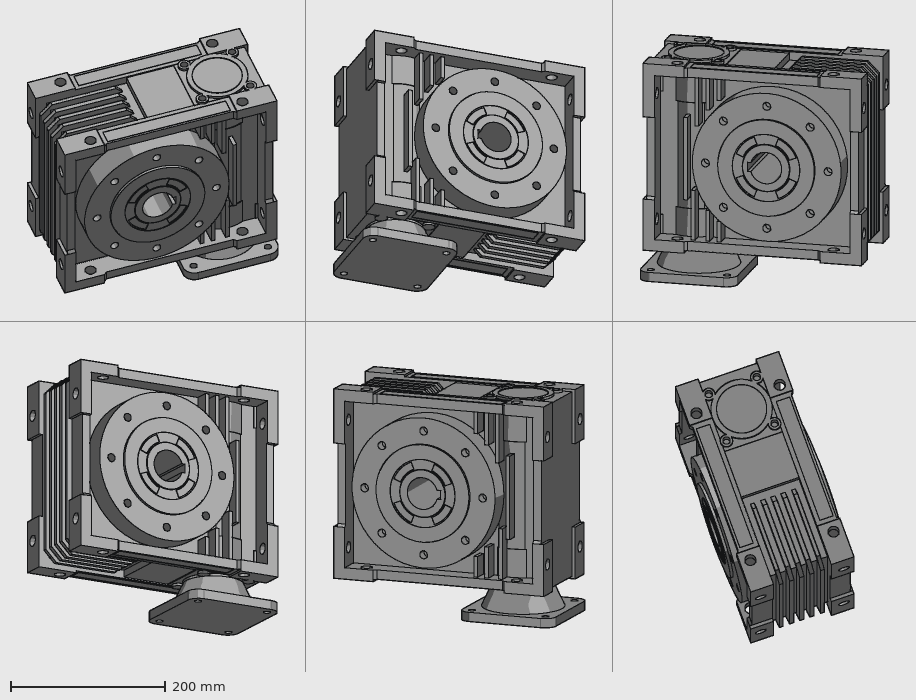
import cadquery as cq
import math


rear_y = 166.7
front_y = -126.3
mid_z = 1.5
half_height = 126.0
top_z = mid_z + half_height
bottom_z = mid_z - half_height
length = rear_y - front_y
mid_y = (rear_y + front_y) / 2

frame_x = 71.2
core_x = 39.8
frame_wall = 15.5
corner_length = 55.2
corner_edge_z = 55.5
rail_side_inset = 3.5
rail_upper_slope = 1.0
rail_end_inset = 4.5
rail_top_inset = 2.7
rail_panel_inner_x = 45.8
rail_panel_outer_x = 64.2
rail_panel_margin = 6.5
rail_panel_depth = 0.5
mount_hole_d = 14.5
mount_hole_x = 57.3
mount_hole_z = 84.7
mount_hole_ys = (124.0, -85.5)
mount_hole_depth = 24.0

cover_half_height = 122.7
plate_half_height = 121.5
base_half_height = 112.2
cover_edge_y = 64.2
plate_edge_y = -0.5

fin_start_y = -11.2
fin_end_y = -124.2
fin_chamfer = 15.7
fin_layout = ((0, 6.0), (14.0, 6.0), (-14.0, 6.0), (28.3, 5.0), (-28.3, 5.0))

worm_y = 110.0
barrel_r = 43.7
barrel_end_r = 44.5
barrel_end_z = 71.5
cover_r = core_x
cover_recess_r = 32.5
cover_recess_depth = 1.2
boss_circle_r = 47.0
boss_first_angle = 45.8
boss_count = 4
boss_r = 8.0
boss_hole_d = 9.5
boss_hole_depth = 12.0
flange_side = 130.2
flange_thickness = 12.5
flange_corner_r = 15.5
flange_bottom_z = -168.0
flange_hole_d = 9.0
flange_hole_offset = 51.3
cone_top_r = cover_r
cone_bottom_r = 54.3

disc_r = 99.8
disc_x = 73.5
hub_r = 64.8
hub_x = 77.5
tapped_circle_r = 82.3
tapped_hole_d = 10.5
tapped_hole_depth = 15.0
tapped_hole_count = 8
seal_r = 45.2
seal_recess = 1.0
seal_pocket_inner_r = 33.5
seal_pocket_outer_r = 43.5
seal_pocket_count = 4
seal_pocket_first_angle = 45
seal_pocket_angle = 46
seal_pocket_depth = 1.0
shaft_r = 32.0
shaft_chamfer = 0.5
bore_r = 21.0
key_half_width = 6.0
key_reach = 25.0

rib_x = 60.3
corner_rib_x = core_x + 1.0
rib_thickness = 5.0
window_top_z = top_z - frame_wall
window_bottom_z = bottom_z + frame_wall
window_rear_y = rear_y - frame_wall
window_front_y = front_y + frame_wall
rib_layout = (
    (112.5, -55.5, 55.5, rib_x),
    (97.5, 45.2, window_top_z, rib_x),
    (102.2, window_bottom_z, -42.0, rib_x),
    (82.5, 67.8, window_top_z, rib_x),
    (82.5, window_bottom_z, -67.8, rib_x),
    (67.5, 81.7, window_top_z, rib_x),
    (67.5, window_bottom_z, -81.7, rib_x),
    (150.5, 83.2, window_top_z, corner_rib_x),
    (150.5, window_bottom_z, -83.2, corner_rib_x),
)


def block(x0, x1, y0, y1, z0, z1):
    """Box between two opposite corners."""
    return cq.Workplane("XY").box(x1 - x0, y1 - y0, z1 - z0, centered=False).translate((x0, y0, z0))


def x_cylinder(radius, x0, x1):
    """Cylinder on the output axis."""
    return cq.Workplane("YZ").workplane(offset=x0).circle(radius).extrude(x1 - x0)


def z_cylinder(radius, z0, z1, x=0, y=worm_y):
    """Vertical cylinder, on the worm axis by default."""
    return cq.Workplane("XY").workplane(offset=z0).center(x, y).circle(radius).extrude(z1 - z0)


def both_sides(solid):
    """The solid together with its mirror image across X = 0."""
    return solid.union(solid.mirror("YZ"))


def make_core():
    def slab(half_height_z, y0, y1):
        return block(-core_x, core_x, y0, y1, mid_z - half_height_z, mid_z + half_height_z)

    cover = slab(cover_half_height, cover_edge_y, rear_y - rail_end_inset)
    plate = slab(plate_half_height, plate_edge_y, cover_edge_y)
    base = slab(base_half_height, window_front_y, plate_edge_y)
    return cover.union(plate).union(base)


def make_fins():
    rise = plate_half_height - base_half_height
    upper_outline = [
        (fin_start_y, base_half_height),
        (fin_start_y - rise, plate_half_height),
        (fin_end_y + fin_chamfer, plate_half_height),
        (fin_end_y, plate_half_height - fin_chamfer),
    ]
    lower_outline = [(y, -z) for y, z in reversed(upper_outline)]
    outline = [(y, mid_z + z) for y, z in upper_outline + lower_outline]
    fins = cq.Workplane("YZ")
    for x, width in fin_layout:
        fin = cq.Workplane("YZ").workplane(offset=x - width / 2).polyline(outline).close().extrude(width)
        fins = fins.union(fin)
    return fins


def rail_side_cut(axis_plane, start, end, end_slope):
    """Shallow cut that sets the rail sides back; it starts on a 45 degree slope and ends on end_slope."""
    floor_x = frame_x - rail_side_inset
    profile = [
        (frame_x, start),
        (floor_x, start + rail_side_inset),
        (floor_x, end - end_slope),
        (frame_x, end),
    ]
    return cq.Workplane(axis_plane).polyline(profile).close().extrude(length, both=True)


def make_frame():
    """The +X frame: a rectangular ring with corner blocks and set-back rails."""
    corner_rear_y = rear_y - corner_length
    corner_front_y = front_y + corner_length
    frame = block(core_x, frame_x, front_y, rear_y, bottom_z, top_z)
    window = block(core_x, frame_x, window_front_y, window_rear_y, window_bottom_z, window_top_z)
    frame = frame.cut(window)
    frame = frame.cut(rail_side_cut("XY", corner_front_y, corner_rear_y, rail_side_inset))
    frame = frame.cut(rail_side_cut("XZ", -corner_edge_z, corner_edge_z, rail_upper_slope))
    for z0, z1 in ((top_z - rail_top_inset, top_z), (bottom_z, bottom_z + rail_top_inset)):
        frame = frame.cut(block(core_x, frame_x, corner_front_y, corner_rear_y, z0, z1))
    for y0, y1 in ((rear_y - rail_end_inset, rear_y), (front_y, front_y + rail_end_inset)):
        frame = frame.cut(block(core_x, frame_x, y0, y1, -corner_edge_z, corner_edge_z))

    panel_y0 = corner_front_y + rail_panel_margin
    panel_y1 = corner_rear_y - rail_panel_margin
    panel_half = half_height - rail_top_inset
    for z in (mid_z + panel_half, mid_z - panel_half):
        panel = block(rail_panel_inner_x, rail_panel_outer_x, panel_y0, panel_y1,
                      z - rail_panel_depth, z + rail_panel_depth)
        frame = frame.cut(panel)

    for y in mount_hole_ys:
        for z0 in (top_z - mount_hole_depth, bottom_z):
            frame = frame.cut(z_cylinder(mount_hole_d / 2, z0, z0 + mount_hole_depth, mount_hole_x, y))
    end_holes = (
        cq.Workplane("XZ", origin=(0, mid_y, 0))
        .pushPoints([(mount_hole_x, z) for z in (mount_hole_z, -mount_hole_z)])
        .circle(mount_hole_d / 2)
        .extrude(length, both=True)
    )
    return frame.cut(end_holes)


def make_worm_barrel():
    barrel = z_cylinder(barrel_r, window_bottom_z, window_top_z)
    barrel = barrel.union(z_cylinder(barrel_end_r, barrel_end_z, window_top_z))
    return barrel.union(z_cylinder(barrel_end_r, window_bottom_z, -barrel_end_z))


def make_ribs():
    """Ribs standing on the wall inside the +X window."""
    ribs = cq.Workplane("XY")
    half = rib_thickness / 2
    for y, z0, z1, reach in rib_layout:
        rib_rear_y = min(y + half, window_rear_y)
        ribs = ribs.union(block(0, reach, y - half, rib_rear_y, z0, z1))
    return ribs


def boss_points():
    angles = [math.radians(boss_first_angle + 360 / boss_count * i) for i in range(boss_count)]
    return [(boss_circle_r * math.cos(a), worm_y + boss_circle_r * math.sin(a)) for a in angles]


def make_bearing_covers():
    """Round covers with four screw bosses on the top and bottom of the worm bore."""
    covers = z_cylinder(cover_r, bottom_z, top_z)
    for x, y in boss_points():
        for z0, z1 in ((bottom_z, window_bottom_z), (window_top_z, top_z)):
            covers = covers.union(z_cylinder(boss_r, z0, z1, x, y))
    return covers


def cut_bearing_cover(body):
    body = body.cut(z_cylinder(cover_recess_r, top_z - cover_recess_depth, top_z))
    for x, y in boss_points():
        body = body.cut(z_cylinder(boss_hole_d / 2, top_z - boss_hole_depth, top_z, x, y))
    return body


def make_motor_flange():
    flange_top_z = flange_bottom_z + flange_thickness
    plate = (
        cq.Workplane("XY", origin=(0, worm_y, flange_bottom_z))
        .rect(flange_side, flange_side)
        .extrude(flange_thickness)
        .edges("|Z")
        .fillet(flange_corner_r)
        .faces(">Z")
        .workplane(origin=(0, worm_y, 0))
        .rect(2 * flange_hole_offset, 2 * flange_hole_offset, forConstruction=True)
        .vertices()
        .hole(flange_hole_d)
    )
    cone = (
        cq.Workplane("XY", origin=(0, worm_y, flange_top_z))
        .circle(cone_bottom_r)
        .workplane(offset=bottom_z - flange_top_z)
        .circle(cone_top_r)
        .loft()
    )
    return plate.union(cone)


def make_output_flange():
    """Bolted disc, hub, seal recess and shaft end on the +X side."""
    seal_x = hub_x - seal_recess
    flange = x_cylinder(disc_r, 0, disc_x).union(x_cylinder(hub_r, 0, hub_x))
    tapped_holes = (
        cq.Workplane("YZ")
        .workplane(offset=disc_x - tapped_hole_depth)
        .polarArray(tapped_circle_r, 0, 360, tapped_hole_count)
        .circle(tapped_hole_d / 2)
        .extrude(tapped_hole_depth)
    )
    flange = flange.cut(tapped_holes).cut(x_cylinder(seal_r, seal_x, hub_x))

    pocket_x = seal_x - seal_pocket_depth
    pocket_ring = x_cylinder(seal_pocket_outer_r, pocket_x, seal_x)
    pocket_ring = pocket_ring.cut(x_cylinder(seal_pocket_inner_r, pocket_x, seal_x))
    wedge_half_width = seal_r * math.tan(math.radians(seal_pocket_angle / 2))
    for i in range(seal_pocket_count):
        turn = seal_pocket_first_angle + 360 / seal_pocket_count * i
        wedge = (
            cq.Workplane("YZ")
            .workplane(offset=pocket_x)
            .polyline([(0, 0), (seal_r, -wedge_half_width), (seal_r, wedge_half_width)])
            .close()
            .extrude(seal_pocket_depth)
            .rotate((0, 0, 0), (1, 0, 0), turn)
        )
        flange = flange.cut(pocket_ring.intersect(wedge))

    shaft_end = x_cylinder(shaft_r, 0, hub_x).faces(">X").chamfer(shaft_chamfer)
    return flange.union(shaft_end)


def make_bore():
    bore = x_cylinder(bore_r, -hub_x, hub_x)
    keyway = block(-hub_x, hub_x, 0, key_reach, -key_half_width, key_half_width)
    return bore.union(keyway)


body = make_core().union(make_fins()).union(make_worm_barrel())
body = body.union(both_sides(make_frame()))
body = body.union(both_sides(make_ribs()))
body = body.union(make_bearing_covers())
body = cut_bearing_cover(body)
body = body.union(make_motor_flange())
body = body.union(both_sides(make_output_flange()))
result = body.cut(make_bore())